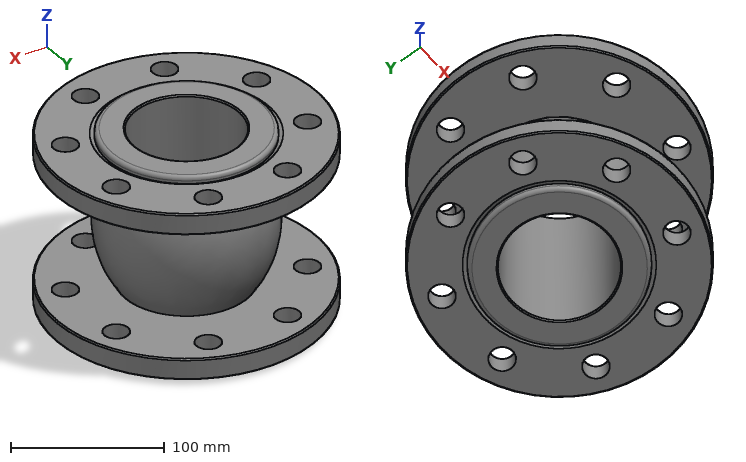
import cadquery as cq

flange_diameter = 200.0
flange_thickness = 16.0
flange_edge_chamfer = 1.0
bolt_hole_diameter = 18.0
bolt_circle_diameter = 160.0
bolt_count = 8

total_height = 135.0
lip_diameter = 120.0
lip_height = 4.0
lip_fillet = 3.0
lip_groove_width = 3.0
lip_groove_depth = 1.5
bore_diameter = 80.0
bore_chamfer = 1.0

body_waist_diameter = 124.0
body_end_diameter = 94.0

lip_face = total_height / 2
flange_outer_face = lip_face - lip_height
flange_inner_face = flange_outer_face - flange_thickness


def make_body():
    """Barrel revolved from an arc that is widest at the mid plane."""
    end_radius = body_end_diameter / 2
    waist_radius = body_waist_diameter / 2
    profile = (
        cq.Workplane("XZ")
        .moveTo(0, -flange_inner_face)
        .lineTo(end_radius, -flange_inner_face)
        .threePointArc((waist_radius, 0), (end_radius, flange_inner_face))
        .lineTo(0, flange_inner_face)
        .close()
    )
    return profile.revolve(360, (0, 0, 0), (0, 1, 0))


def make_lip_groove():
    """Ring with a triangular section: straight along the lip, sloped on the flange side."""
    lip_radius = lip_diameter / 2
    profile = (
        cq.Workplane("XZ")
        .moveTo(lip_radius, flange_outer_face)
        .lineTo(lip_radius + lip_groove_width, flange_outer_face)
        .lineTo(lip_radius, flange_outer_face - lip_groove_depth)
        .close()
    )
    return profile.revolve(360, (0, 0, 0), (0, 1, 0))


def make_upper_end():
    """Upper flange with its bolt holes, groove and rounded sealing lip."""
    flange = (
        cq.Workplane("XY")
        .workplane(offset=flange_inner_face)
        .circle(flange_diameter / 2)
        .extrude(flange_thickness)
        .edges()
        .chamfer(flange_edge_chamfer)
    )
    bolt_pitch = 360 / bolt_count
    bolt_holes = (
        cq.Workplane("XY")
        .workplane(offset=flange_inner_face)
        .polarArray(bolt_circle_diameter / 2, bolt_pitch / 2, 360, bolt_count)
        .circle(bolt_hole_diameter / 2)
        .extrude(flange_thickness)
    )
    lip = (
        cq.Workplane("XY")
        .workplane(offset=flange_outer_face)
        .circle(lip_diameter / 2)
        .extrude(lip_height)
        .faces(">Z")
        .edges()
        .fillet(lip_fillet)
    )
    return flange.cut(bolt_holes).cut(make_lip_groove()).union(lip)


def make_bore():
    """Full-height bore cutter, widened by a chamfer at each lip face."""
    bore_radius = bore_diameter / 2
    mouth_radius = bore_radius + bore_chamfer
    chamfer_start = lip_face - bore_chamfer
    profile = (
        cq.Workplane("XZ")
        .moveTo(0, -lip_face)
        .lineTo(mouth_radius, -lip_face)
        .lineTo(bore_radius, -chamfer_start)
        .lineTo(bore_radius, chamfer_start)
        .lineTo(mouth_radius, lip_face)
        .lineTo(0, lip_face)
        .close()
    )
    return profile.revolve(360, (0, 0, 0), (0, 1, 0))


upper_end = make_upper_end()
lower_end = upper_end.mirror("XY")
result = make_body().union(upper_end).union(lower_end).cut(make_bore())